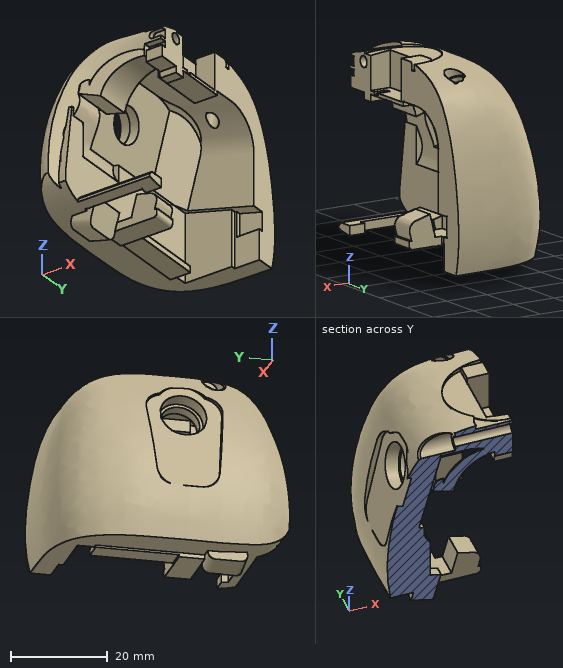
import cadquery as cq
import math

LEAN = 15.0
WALL = 2.05
MID_Y = -27.95

SECTIONS = [
    (0.0, -27.1, -1.0, -21.35, -50.25, -41.2),
    (4.6, -27.7, -0.2, -21.55, -50.7, -41.2),
    (9.15, -27.85, 0.0, -21.6, -50.85, -41.2),
    (15.25, -27.45, -0.4, -21.45, -50.45, -41.2),
    (21.35, -26.5, -1.3, -20.95, -49.45, -41.2),
    (27.45, -24.9, -2.75, -20.0, -47.65, -41.2),
    (32.55, -23.1, -4.7, -18.55, -45.7, -41.2),
    (36.1, -20.95, -6.75, -16.55, -43.9, -41.05),
    (38.65, -18.5, -9.2, -14.0, -42.2, -40.6),
    (40.45, -15.5, -12.1, -10.7, -40.05, -39.45),
    (41.45, -12.55, -14.75, -7.1, -37.1, -37.1),
    (41.85, -9.15, -17.8, -4.05, -33.55, -33.55),
]
BACK_CORNER_POWER = 3.7
FRONT_CORNER_POWER = 2.6
FRONT_SWEEP_POWER = 2.65

PANE_Y = -7.65
PANE_EDGE = -20.45
SIDE_WALL = -24.4
CAVITY_FRONT = -38.65
CEILING = 32.05
CEILING_RADIUS = 8.15
LOWER_TOP = 11.55
LOWER_WALL_X = -18.1
LOWER_PANE_Y = -6.6

ARCH_FOOT = (-12.95, 25.1)
ARCH_MIDDLE = (-9.45, 31.0)
NOTCH_WIDTH = 4.05
ARCH_TOP = (-NOTCH_WIDTH, 33.2)
HOOK_CORNER = (-17.55, 26.45)
NOTCH_TOP = 36.1
NOTCH_Y = -39.4

PORT_Z = 29.0
PORT_FLOOR_DEPTH = 3.05
PORT_D = 9.8
PORT_BORE_D = 8.35
PORT_HOOD_D = 12.2
PORT_HOOD_RISE = 1.0
SCOOP_WIDTH = 17.2
SCOOP_BOTTOM_WIDTH = 12.7
SCOOP_RADIUS = 4.05
SCOOP_BOTTOM = 11.7
SCOOP_TOP = 33.55
SCOOP_START_X = -27.7

SCREW_Y = -35.65
SCREW_Z = 38.6
SCREW_D = 2.5
SCREW_HEAD_D = 4.5
SCREW_BOSS_D = 6.0
SCREW_RIM_CHAMFER = 0.3
SCREW_FLOOR_X = -12.7
VENT_START = (-6.65, -11.1, 38.9)
VENT_D = 3.0
VENT_RIM_D = 4.15

WINDOW_X = 4.9
WINDOW_BACK = -21.6
WINDOW_FRONT = -33.05
WINDOW_FLOOR = 32.95
FLOOR_THICKNESS = 0.8
SLOT_LENGTH = 3.05
SLOT_FRONT = -31.65
SLOT_BACK = -30.4
SLOT_DEPTH = 0.5
PILL_BOTTOM = 36.85
PILL_TOP = 38.95
NOSE_Y = -40.6
NOSE_BOTTOM = 32.05
NOSE_TOP = 34.8
HEEL_BOTTOM = 30.5
BLOCK_BACK = -17.55
BLOCK_FRONT = -22.1
BLOCK_TOP = 42.2
BLOCK_RADIUS = 0.6

SIDE_FLAT_TILT = 6.0
FRONT_FLAT_TILT = 14.0
FRONT_FLAT_START = (0.0, -41.2, 39.4)

SIDE_FLAT_EDGE = 11.55
SIDE_FLAT_HEIGHT = 41.65
SIDE_FLAT_OUTLINE = (-25.95, SIDE_FLAT_EDGE, 9.25)
FRONT_FLAT_OUTLINE = (-35.1, 8.15, 6.0)

BAR_FRONT = -45.0
BAR_BACK = -42.4
BAR_HEIGHT = 2.55
BAR_CHAMFER = 0.75
BAR_POST_WIDTH = 3.8
BAR_POST_BACK = -40.95
CORNER_X = -19.3

LEDGE_FRONT = -33.55
LEDGE_BACK = -27.95
LEDGE_DEPTH = 0.9
PANE_STEP_X = -6.25
PANE_STEP = 1.0
PANE_SHELF_Z = 7.4

TAB_LEFT = -21.2
TAB_RIGHT = -16.05
TAB_FRONT = -41.9
TAB_BACK = -33.45
TAB_BOTTOM = -7.7
TAB_TOP = -1.0
TAB_RADIUS = 1.55
BOSS_LEFT = -12.55
BOSS_RIGHT = -6.85
BOSS_TOP = 2.95
BOSS_RADIUS = 2.05

FAR = 61.0


def leaning(shape):
    """Turn a shape built upright into the leaning frame."""
    return shape.rotate((0, 0, 0), (0, 1, 0), LEAN)


def box(x0, x1, y0, y1, z0, z1):
    return cq.Workplane("XY").box(x1 - x0, y1 - y0, z1 - z0, centered=False).translate((x0, y0, z0))


def superellipse(center, reach, power, count=7):
    """Quarter curve from (center X, far Y) round to (far X, center Y)."""
    points = []
    for i in range(count + 1):
        angle = math.pi / 2 * i / count
        across = math.sin(angle) ** (2 / power)
        along = max(math.cos(angle), 0.0) ** (2 / power)
        points.append((center[0] + reach[0] * across, center[1] + reach[1] * along))
    return points


def section_wire(section, inset):
    z, left, back, tip_x, tip_y, middle = section
    left += inset
    back -= inset
    tip_x += inset / 2
    tip_y += inset
    middle += inset
    back_curve = superellipse((0, MID_Y), (left, back - MID_Y), BACK_CORNER_POWER)
    side_curve = superellipse((tip_x, MID_Y), (left - tip_x, tip_y - MID_Y), FRONT_CORNER_POWER)[::-1]
    front_curve = []
    for i in range(7):
        part = 1 - i / 6
        front_curve.append((tip_x * part, middle + (tip_y - middle) * part ** FRONT_SWEEP_POWER))
    edges = []
    for curve in (back_curve, side_curve, front_curve):
        edges.append(cq.Edge.makeSpline([cq.Vector(x, y, z) for x, y in curve]))
    edges.append(cq.Edge.makeLine(cq.Vector(0, middle, z), cq.Vector(0, back, z)))
    return cq.Wire.assembleEdges(edges)


def skin(inset):
    """Outer surface of the cover, or a smaller copy of it for the inside."""
    wires = [section_wire(section, inset) for section in SECTIONS]
    return cq.Workplane(cq.Solid.makeLoft(wires)).translate((0, 0, -inset))


def upper_cavity():
    """Leaning room with a tapered side wall and a large fillet between ceiling and back pane."""
    plan = [
        (PANE_EDGE, PANE_Y), (SIDE_WALL, PANE_Y - CEILING_RADIUS), (SIDE_WALL, CAVITY_FRONT),
        (FAR, CAVITY_FRONT), (FAR, PANE_Y),
    ]
    prism = cq.Workplane("XY").workplane(offset=LOWER_TOP).polyline(plan).close()
    prism = prism.extrude(CEILING - LOWER_TOP)
    prism = prism.edges("|X and >Y and >Z").fillet(CEILING_RADIUS)
    return leaning(prism)


def lower_cavity():
    """Upright lower room, with the back pane stepped deeper towards the centre plane."""
    room = box(LOWER_WALL_X, FAR, -FAR, LOWER_PANE_Y, -5.1, FAR)
    step = box(PANE_STEP_X, FAR, -30.5, LOWER_PANE_Y + PANE_STEP, -5.1, FAR)
    shelf = box(PANE_STEP_X + 0.5, FAR, -30.5, LOWER_PANE_Y + 2 * PANE_STEP, PANE_SHELF_Z, FAR)
    below = leaning(box(-FAR, FAR, -FAR, 0, -FAR, LOWER_TOP))
    return room.union(step).union(shelf).intersect(below)


def front_opening():
    """Opening between the wing and the arch, with a notch in the middle."""
    arch = (
        cq.Workplane("XZ", origin=(0, -30.5, 0))
        .moveTo(0.5, -0.5).lineTo(LOWER_WALL_X, -0.5).lineTo(LOWER_WALL_X, 12.7)
        .spline([(-19.2, 18.05), (-17.55, 22.35), HOOK_CORNER], includeCurrent=True)
        .lineTo(*ARCH_FOOT).threePointArc(ARCH_MIDDLE, ARCH_TOP)
        .lineTo(-NOTCH_WIDTH, NOSE_BOTTOM).lineTo(0.5, NOSE_BOTTOM).close().extrude(FAR)
    )
    return arch.union(box(-NOTCH_WIDTH, 0.5, -FAR, NOTCH_Y, 25.4, NOTCH_TOP))


def arch_lip():
    """Raised rim along the arch, ending in a slanted front face and a rounded hook at its foot."""
    band = (
        cq.Workplane("XZ", origin=(0, -35.6, 0))
        .moveTo(*ARCH_FOOT).threePointArc(ARCH_MIDDLE, ARCH_TOP)
        .lineTo(-NOTCH_WIDTH, NOSE_TOP).threePointArc((-11.2, 33.25), (-15.25, 28.15))
        .lineTo(-15.25, 29.35).threePointArc((-16.75, 29), (-17.3, 28.2))
        .lineTo(*HOOK_CORNER).close().extrude(20.35)
    )
    front = cq.Workplane("XY").polyline([(0, -30.5), (0, -39.9), (-20.35, -46.8), (-20.35, -30.5)]).close().extrude(FAR)
    return band.intersect(front)


def wing_rim():
    """Straight inner rim of the wing, beside the opening."""
    root_x = CORNER_X - 0.5
    side = [(-43.2, 1), (-49.6, 1), (-49.6, 6.1), (-47.3, 22.9), (-43.2, 22.9)]
    plane = cq.Workplane("YZ", origin=(root_x, 0, 0))
    return plane.polyline(side).close().extrude(LOWER_WALL_X - root_x)


def front_bar():
    """Bar joining the wing to the centre plane, with a short post at its inner end."""
    bar = box(CORNER_X, 0, BAR_FRONT, BAR_BACK, 0, BAR_HEIGHT).edges("|X and >Z and <Y").chamfer(BAR_CHAMFER)
    return bar.union(box(-BAR_POST_WIDTH, 0, BAR_BACK, BAR_POST_BACK, 0, BAR_HEIGHT))


def below_chin():
    """Everything under the rounded lower front edge, as a bar along X."""
    return (
        cq.Workplane("YZ", origin=(-FAR, 0, 0)).moveTo(-35.6, 0)
        .spline([(-42.4, 0.5), (-47.3, 2.05), (-49.65, 4.05), (-51.0, 7.1)], includeCurrent=True)
        .lineTo(-FAR, 7.1).lineTo(-FAR, -10.15).lineTo(-35.6, -10.15).close().extrude(2 * FAR)
    )


def flats():
    """Two shallow sloping flats around the latch window."""
    def outline(center_y, reach_x, reach_y):
        return cq.Workplane("XY", origin=(0, center_y, 30.5)).ellipse(reach_x, reach_y).extrude(20.35)
    side = box(0, 30.5, -FAR, 0, 0, 10.15).rotate((0, 0, 0), (0, 1, 0), SIDE_FLAT_TILT)
    side = side.translate((-SIDE_FLAT_EDGE, 0, SIDE_FLAT_HEIGHT))
    front = box(-30.5, 30.5, 0, 15.25, 0, 10.15).rotate((0, 0, 0), (1, 0, 0), FRONT_FLAT_TILT)
    front = front.translate(FRONT_FLAT_START)
    front = front.intersect(outline(*FRONT_FLAT_OUTLINE))
    return side.intersect(outline(*SIDE_FLAT_OUTLINE)).union(front)


def scoop():
    """Recess with a leaning flat floor that runs out at its narrower lower end."""
    length = (SCOOP_TOP - SCOOP_BOTTOM) / math.cos(math.radians(LEAN))
    outline = [
        (-SCOOP_BOTTOM_WIDTH / 2, 0), (SCOOP_BOTTOM_WIDTH / 2, 0),
        (SCOOP_WIDTH / 2, length), (-SCOOP_WIDTH / 2, length),
    ]
    tool = (
        cq.Workplane("YZ").polyline(outline).close()
        .extrude(10.15).edges("|X").fillet(SCOOP_RADIUS).translate((-10.15, 0, 0))
    )
    return leaning(tool).translate((SCOOP_START_X, MID_Y, SCOOP_BOTTOM))


def port():
    """Stepped round hole square to the scoop floor."""
    def bore(diameter, start, end):
        return cq.Workplane("YZ").circle(diameter / 2).extrude(end - start).translate((start, 0, 0))
    tool = bore(PORT_D, -10.15, PORT_FLOOR_DEPTH).union(bore(PORT_BORE_D, 0, 10.15))
    tool = tool.union(bore(PORT_HOOD_D, -10.15, 0).translate((0, 0, PORT_HOOD_RISE)))
    floor_x = SCOOP_START_X + (PORT_Z - SCOOP_BOTTOM) * math.tan(math.radians(LEAN))
    return leaning(tool).translate((floor_x, MID_Y, PORT_Z))


def screw_hole():
    """Counterbored hole along X."""
    plane = cq.Workplane("YZ", origin=(SCREW_FLOOR_X, SCREW_Y, SCREW_Z))
    return plane.circle(SCREW_D / 2).extrude(15.25).union(plane.circle(SCREW_HEAD_D / 2).extrude(-15.25))


def vent_hole():
    """Leaning hole through the top with a wider rim."""
    hole = cq.Workplane("XY").circle(VENT_D / 2).extrude(15.25, both=True)
    rim = cq.Workplane("XY").circle(VENT_RIM_D / 2).extrude(5.1)
    return leaning(hole.union(rim)).translate(VENT_START)


def latch_tray():
    """Tray under the latch window with a nose that shows in the notch above the opening."""
    front = WINDOW_FRONT - FLOOR_THICKNESS
    back = WINDOW_BACK + FLOOR_THICKNESS
    under = WINDOW_FLOOR - FLOOR_THICKNESS
    tray = box(-WINDOW_X - FLOOR_THICKNESS, 0, front, back, under, NOTCH_TOP + 3.05)
    nose = box(-NOTCH_WIDTH, 0, NOSE_Y, WINDOW_FRONT, NOSE_BOTTOM, NOSE_TOP)
    heel = box(-NOTCH_WIDTH, 0, WINDOW_FRONT - 2.55, WINDOW_FRONT, HEEL_BOTTOM, under + 0.5)
    return tray.union(nose).union(heel)


def latch_window():
    """Window in the top, with a blind slot in its floor and a pocket in the front edge."""
    window = box(-WINDOW_X, 0.5, WINDOW_FRONT, WINDOW_BACK, WINDOW_FLOOR, FAR)
    slot = box(-SLOT_LENGTH, 0.5, SLOT_FRONT, SLOT_BACK, WINDOW_FLOOR - SLOT_DEPTH, FAR)
    pill = box(-SLOT_LENGTH, 0.5, -FAR, NOTCH_Y, PILL_BOTTOM, PILL_TOP)
    pill = pill.edges("|Y and <X").fillet((PILL_TOP - PILL_BOTTOM) / 2 - 0.05)
    return window.union(slot).union(pill)


def latch_block():
    """Raised block behind the window."""
    block = box(-WINDOW_X, 0, BLOCK_FRONT, BLOCK_BACK, BLOCK_TOP - 3.55, BLOCK_TOP)
    return block.edges("|X and >Z").fillet(BLOCK_RADIUS)


def tab():
    """Leaning foot below the rim with rounded lower corners."""
    foot = box(TAB_LEFT, TAB_RIGHT, TAB_FRONT, TAB_BACK, TAB_BOTTOM, TAB_TOP)
    foot = foot.edges("|X and <Z").fillet(TAB_RADIUS)
    return leaning(foot)


def floor_ledge():
    """Ledge, thin strip and leaning boss along the bottom of the lower cavity."""
    ledge = box(CORNER_X, PANE_STEP_X, LEDGE_FRONT, LEDGE_BACK, -LEDGE_DEPTH, 1)
    ledge = ledge.edges("|Y and >X and <Z").fillet(LEDGE_DEPTH - 0.05)
    strip = box(CORNER_X, CORNER_X + 5.1, LEDGE_BACK, -10.15, -LEDGE_DEPTH / 2, 1)
    boss = box(BOSS_LEFT, BOSS_RIGHT, LEDGE_FRONT, LEDGE_BACK, -3.05, BOSS_TOP)
    boss = boss.edges("|Y and >X and >Z").fillet(BOSS_RADIUS)
    boss = leaning(boss).intersect(box(-15.25, PANE_STEP_X, LEDGE_FRONT, LEDGE_BACK, 0, 10.15))
    return ledge.union(strip).union(boss)


def screw_boss(outer):
    """Thick material around the screw head, trimmed to the outer skin."""
    boss = cq.Workplane("YZ", origin=(-25.4, SCREW_Y, SCREW_Z)).circle(SCREW_BOSS_D / 2).extrude(17.8)
    return boss.intersect(outer)


cavity = upper_cavity().union(lower_cavity())
cavity = cavity.intersect(skin(WALL))
outer = skin(0)
body = outer.cut(cavity).union(screw_boss(outer)).cut(scoop()).cut(flats())
body = body.cut(front_opening()).union(latch_tray()).union(arch_lip())
body = body.union(latch_block()).union(front_bar()).union(wing_rim())
body = body.cut(below_chin()).cut(latch_window()).cut(port()).cut(screw_hole())
rim_edge = cq.selectors.BoxSelector((-18.3, -36.6, 38.15), (-16.8, -34.6, 39.65))
body = body.edges(rim_edge).chamfer(SCREW_RIM_CHAMFER).cut(vent_hole())
result = body.union(tab()).union(floor_ledge())